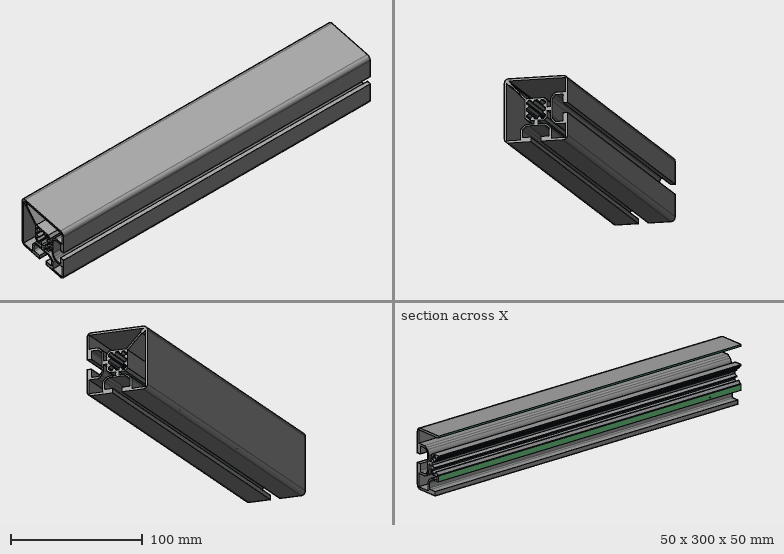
import cadquery as cq
import math

LENGTH = 300.0
SIDE = 50.0
HALF = SIDE / 2
CORNER_RADIUS = 3.5
WALL = 1.8
INNER_HALF = HALF - WALL

SLOT_OPENING = 7.8
SLOT_LIP = 3.5
SLOT_HALF_WIDTH = 10.5
SLOT_FLOOR = 12.5
SLOT_SIDE_SHELL = 1.8
SLOT_FLOOR_SHELL = 1.2
SLOT_CHAMFER = 3.0
SLOT_FLOOR_RADIUS = 4.2
SLOT_SIDE_RADIUS = 1.5
SHELL_CHAMFER = 4.0
SHELL_FLOOR_RADIUS = 5.7
SHELL_SIDE_RADIUS = 3.0
SLOT_LIP_RADIUS = 1.0

CORE_HALF = 8.7
CORE_WALL = 1.35
CORE_INNER_HALF = CORE_HALF - CORE_WALL
CORE_CHAMFER = 2.0
CORE_INNER_CHAMFER = 1.8
TOOTH_OFFSET = 2.7
TOOTH_TIP = 5.0
TOOTH_HALF_BASE = 1.8
TOOTH_HALF_TIP = 0.3

CORE_WEB = 3.0
DIAGONAL_WEB = 1.5
DIAGONAL_ROOT = 2.7
DIAGONAL_ROOT_END = 20.0

SLOT_TURNS = (0, -90)
TOOTH_TURNS = (0, 90, 180, 270)


def profile_plane():
    """XZ plane, with extrusion running along +Y and the part centred on Y."""
    return cq.Workplane("XZ", origin=(0, LENGTH / 2, 0))


def turned(body, angle):
    """Turn a body about the profile axis."""
    return body.rotate((0, 0, 0), (0, 1, 0), angle)


def square_bar(half):
    """Square bar over the full length, centred on the profile axis."""
    return profile_plane().rect(2 * half, 2 * half).extrude(LENGTH)


def slot_bar(half_width, floor, depth_end, chamfer, floor_radius, side_radius):
    """Solid with the section of a slot that opens downward, with rounded 45 degree floor corners."""
    height = depth_end - floor
    body = profile_plane().center(0, -(floor + height / 2))
    body = body.rect(2 * half_width, height).extrude(LENGTH)
    body = body.edges("|Y").edges(">Z").chamfer(chamfer)
    body = body.edges("|Y").edges(">>Z[-2]").fillet(side_radius)
    return body.edges("|Y").edges(">Z").fillet(floor_radius)


def slot_shell():
    """Material around one slot."""
    half_width = SLOT_HALF_WIDTH + SLOT_SIDE_SHELL
    floor = SLOT_FLOOR - SLOT_FLOOR_SHELL
    return slot_bar(half_width, floor, HALF, SHELL_CHAMFER, SHELL_FLOOR_RADIUS, SHELL_SIDE_RADIUS)


def slot_space():
    """Empty space of one slot: the wide cavity and the narrow opening."""
    lip = HALF - SLOT_LIP
    cavity = slot_bar(
        SLOT_HALF_WIDTH, SLOT_FLOOR, lip, SLOT_CHAMFER, SLOT_FLOOR_RADIUS, SLOT_SIDE_RADIUS
    )
    cavity = cavity.edges("|Y and <Z").fillet(SLOT_LIP_RADIUS)
    opening = profile_plane().center(0, -HALF + SLOT_LIP / 2)
    opening = opening.rect(SLOT_OPENING, 2 * SLOT_LIP).extrude(LENGTH)
    return cavity.union(opening)


def core_web():
    """Web from the bottom of the screw channel to the slot floor."""
    top = -CORE_HALF + CORE_WALL / 2
    bottom = -SLOT_FLOOR + SLOT_FLOOR_SHELL / 2
    web = profile_plane().center(0, (top + bottom) / 2)
    return web.rect(CORE_WEB, top - bottom).extrude(LENGTH)


def tooth_pair():
    """Two tapered teeth on the bottom side of the screw channel."""
    root = -CORE_INNER_HALF - CORE_WALL / 2
    teeth = cq.Workplane()
    for side in (-1, 1):
        centre = side * TOOTH_OFFSET
        points = [
            (centre - TOOTH_HALF_BASE, root),
            (centre - TOOTH_HALF_BASE, -CORE_INNER_HALF),
            (centre - TOOTH_HALF_TIP, -TOOTH_TIP),
            (centre + TOOTH_HALF_TIP, -TOOTH_TIP),
            (centre + TOOTH_HALF_BASE, -CORE_INNER_HALF),
            (centre + TOOTH_HALF_BASE, root),
        ]
        teeth = teeth.add(profile_plane().polyline(points).close().extrude(LENGTH))
    return teeth.combine()


def diagonal_web():
    """Web from the screw channel to the upper -X corner, thicker at the corner."""

    def strip(start, end, thickness):
        """Flat strip along the diagonal; start and end are X and Z distances from the axis."""
        length = (end - start) * math.sqrt(2)
        middle = (start + end) / 2
        body = profile_plane().rect(length, thickness).extrude(LENGTH)
        return turned(body, 45).translate((-middle, 0, middle))

    thin = strip(CORE_INNER_HALF - CORE_WALL / 2, INNER_HALF, DIAGONAL_WEB)
    return thin.union(strip(DIAGONAL_ROOT_END, INNER_HALF, DIAGONAL_ROOT))


tube = square_bar(HALF).edges("|Y").fillet(CORNER_RADIUS).cut(square_bar(INNER_HALF))
core = square_bar(CORE_HALF).edges("|Y").edges(">X or <Z").chamfer(CORE_CHAMFER)
core_space = square_bar(CORE_INNER_HALF).edges("|Y").chamfer(CORE_INNER_CHAMFER)

result = tube.union(core).union(diagonal_web())
for angle in SLOT_TURNS:
    result = result.union(turned(slot_shell(), angle)).union(turned(core_web(), angle))
    result = result.cut(turned(slot_space(), angle))
result = result.cut(core_space)
for angle in TOOTH_TURNS:
    result = result.union(turned(tooth_pair(), angle))